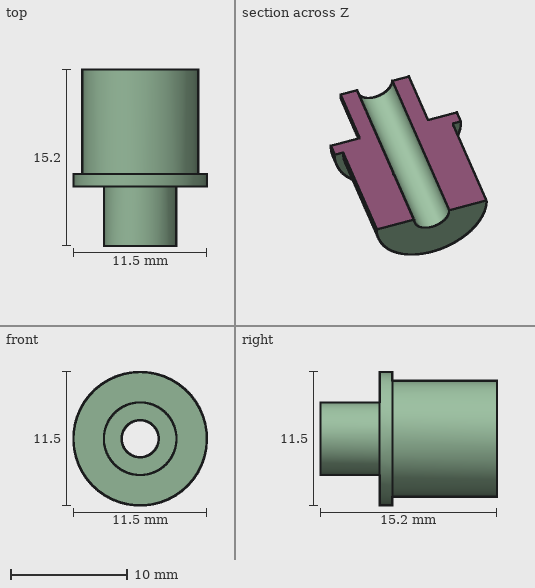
import cadquery as cq

body_diameter = 10.0
body_length = 9.0
flange_diameter = 11.5
flange_thickness = 1.1
spigot_diameter = 6.25
spigot_length = 5.1
bore_diameter = 3.17

total_length = spigot_length + flange_thickness + body_length


def cylinder_along_y(diameter, start, length):
    """Cylinder centred on the Y axis, running from y = start towards +Y."""
    return cq.Workplane(
        cq.Solid.makeCylinder(diameter / 2, length, cq.Vector(0, start, 0), cq.Vector(0, 1, 0))
    )


spigot = cylinder_along_y(spigot_diameter, -spigot_length, spigot_length)
flange = cylinder_along_y(flange_diameter, 0, flange_thickness)
body = cylinder_along_y(body_diameter, flange_thickness, body_length)

bore = cylinder_along_y(bore_diameter, -spigot_length, total_length)

result = spigot.union(flange).union(body).cut(bore)